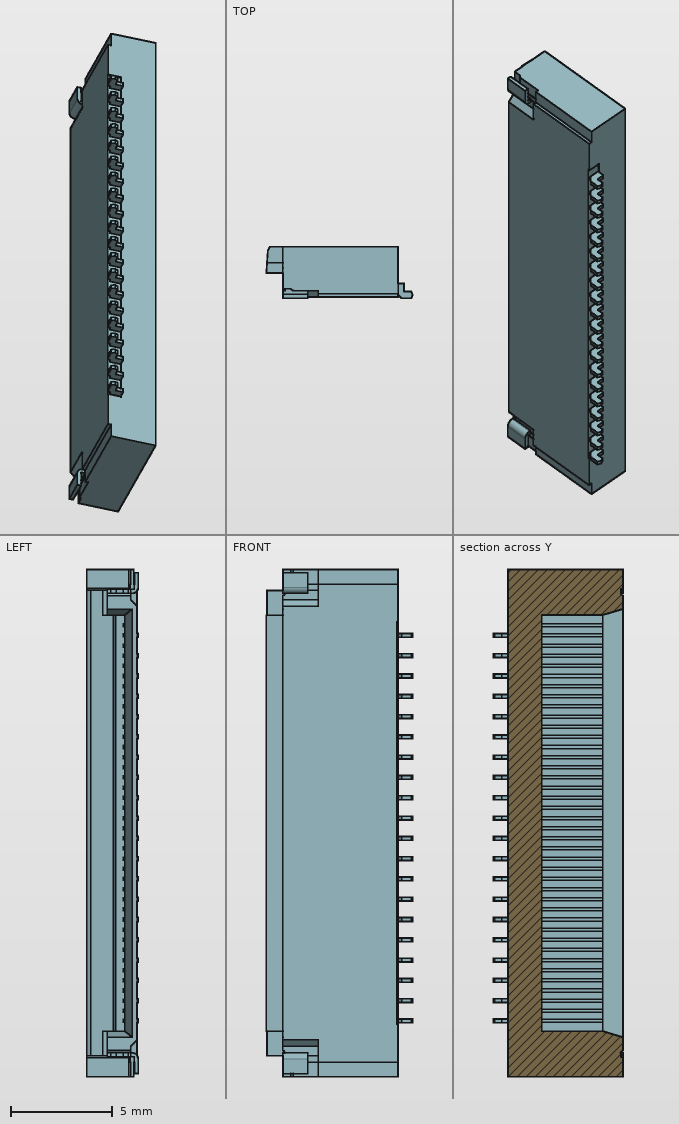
import cadquery as cq


LENGTH = 24.9
MIDDLE = LENGTH / 2
TOP_Y = 2.55
MOUTH_X = 0.82
REAR_X = 6.47
BASE_Y = 0.062
END_STEP_Y = 0.22
END_STEP_LENGTH = 0.72
END_BLOCK_LENGTH = 1.02
END_BLOCK_CHAMFER = 0.1

FLAP_END = END_BLOCK_LENGTH
FLAP_LOW_Y = 1.25
FLAP_HIGH_Y = 1.75
FLAP_SETBACK = 0.07
FLAP_TOP_CHAMFER = 0.2
FLAP_TOP_CHAMFER_X = 0.1
FLAP_MIDDLE_END = 2.25

CAVITY_END = FLAP_MIDDLE_END
CAVITY_LOW_Y = 0.67
CAVITY_HIGH_Y = 1.12
CAVITY_DEPTH = 3.98
LEAD_IN_END = 1.95
LEAD_IN_LOW_Y = 0.3
LEAD_IN_DEPTH = 1.0

RELIEF_LOW_Y = 1.52
RELIEF_DEPTH = 0.07

POCKET_REAR_X = 2.56
POCKET_FLOOR_Y = 0.37
POCKET_LENGTH = 1.5
GROOVE_FLOOR_Y = 0.4
POCKET_SLOPE = POCKET_FLOOR_Y - BASE_Y
MOUTH_FLOOR_Y = 0.47
MOUTH_FLOOR_FLAT = 0.37
MOUTH_FLOOR_SLOPE = 0.12

TAB_THICKNESS = 0.2
TAB_REAR_X = 2.05
TAB_END = 0.15
TAB_BEND_RADIUS = 0.3
LEG_START = 0.97
LEG_TOP_Y = RELIEF_LOW_Y
LEG_SETBACK = 0.1
LEG_NOTCH_LOW_Y = (0.5, 1.1)
LEG_NOTCH_HEIGHT = 0.25
LEG_NOTCH_DEPTH = 0.07
SLOT_EDGE_CHAMFER = 0.12

CONTACT_COUNT = 40
CONTACT_PITCH = 0.5
CONTACT_WIDTH = 0.15
CONTACT_HEIGHT = 0.07
TAIL_WIDTH = 0.2
TAIL_COUNT = CONTACT_COUNT // 2
TAIL_TOP_Y = 0.75
TAIL_RISER_X = 6.77
TAIL_TIP_X = 7.2
TAIL_FOOT_Y = 0.35
TAIL_ROOT = 0.25
TAIL_HEEL = 0.17
TAIL_TIP_CHAMFER = 0.07
REAR_NOTCH_DEPTH = 0.07
REAR_NOTCH_MARGIN = 0.17

FIRST_CONTACT_Z = MIDDLE - CONTACT_PITCH * (CONTACT_COUNT - 1) / 2


def block(x0, x1, y0, y1, z0, z1):
    """Box given by its limits along each axis."""
    return cq.Workplane("XY").box(x1 - x0, y1 - y0, z1 - z0, centered=False).translate((x0, y0, z0))


def extrude_along_z(points, z0, z1):
    """Closed XY outline swept between two heights."""
    return cq.Workplane("XY").workplane(offset=z0).polyline(points).close().extrude(z1 - z0)


def extrude_along_x(points, x0, x1):
    """Closed YZ outline swept between two X positions."""
    return cq.Workplane("YZ").workplane(offset=x0).polyline(points).close().extrude(x1 - x0)


def extrude_along_y(points, y0, y1):
    """Closed XZ outline swept between two Y positions."""
    return cq.Workplane("XZ", origin=(0, y0, 0)).polyline(points).close().extrude(y0 - y1)


def row_along_z(shape, count, pitch):
    """Equally spaced copies of a shape, starting at the first contact."""
    heights = [FIRST_CONTACT_Z + index * pitch for index in range(count)]
    copies = [shape.val().translate(cq.Vector(0, 0, z)) for z in heights]
    return cq.Workplane(cq.Compound.makeCompound(copies))


def at_both_ends(bottom_shape):
    """The shape at the lower end together with its mirror image at the upper end."""
    return bottom_shape.union(bottom_shape.mirror("XY", (0, 0, MIDDLE)))


def make_housing():
    body = block(MOUTH_X, REAR_X, BASE_Y, TOP_Y, 0, LENGTH)
    end_step = block(MOUTH_X, REAR_X, BASE_Y, END_STEP_Y, 0, END_STEP_LENGTH)
    return body.cut(at_both_ends(end_step))


def make_flap_root():
    """Middle of the flap carried into the mouth; its underside slopes down to the cavity ceiling."""
    root_x = MOUTH_X + LEAD_IN_DEPTH
    outline = [
        (MOUTH_X, FLAP_LOW_Y),
        (root_x, CAVITY_HIGH_Y),
        (root_x, FLAP_HIGH_Y),
        (MOUTH_X, FLAP_HIGH_Y),
    ]
    return extrude_along_z(outline, FLAP_MIDDLE_END, LENGTH - FLAP_MIDDLE_END)


def make_flap():
    outline = [
        (MOUTH_X, FLAP_LOW_Y),
        (0, FLAP_LOW_Y),
        (FLAP_SETBACK, TOP_Y - FLAP_TOP_CHAMFER),
        (FLAP_SETBACK + FLAP_TOP_CHAMFER_X, TOP_Y),
        (MOUTH_X, TOP_Y),
    ]
    flap = extrude_along_z(outline, FLAP_END, LENGTH - FLAP_END)
    end_relief = block(0, MOUTH_X, FLAP_LOW_Y, FLAP_HIGH_Y, FLAP_END, FLAP_MIDDLE_END)
    return flap.cut(at_both_ends(end_relief)).union(make_flap_root())


def lead_in_section(x, low_y, end_z):
    """Rectangular outline of the lead-in at one depth, centred along the length."""
    centre = (x, (low_y + RELIEF_LOW_Y) / 2, MIDDLE)
    plane = cq.Plane(origin=centre, xDir=(0, 1, 0), normal=(1, 0, 0))
    return cq.Workplane(plane).rect(RELIEF_LOW_Y - low_y, LENGTH - 2 * end_z).wires().val()


def make_cavity():
    cavity = block(MOUTH_X, MOUTH_X + CAVITY_DEPTH, CAVITY_LOW_Y, CAVITY_HIGH_Y, CAVITY_END, LENGTH - CAVITY_END)
    outer = lead_in_section(MOUTH_X, LEAD_IN_LOW_Y, LEAD_IN_END)
    inner = lead_in_section(MOUTH_X + LEAD_IN_DEPTH, CAVITY_LOW_Y, CAVITY_END)
    lead_in = cq.Solid.makeLoft([outer, inner], True)
    return cavity.union(cq.Workplane(lead_in))


def make_end_block_chamfer():
    """Bevel on the mouth-side edge of the end block, next to the flap."""
    outline = [
        (MOUTH_X, END_BLOCK_LENGTH - END_BLOCK_CHAMFER),
        (MOUTH_X, END_BLOCK_LENGTH),
        (MOUTH_X + END_BLOCK_CHAMFER, END_BLOCK_LENGTH),
    ]
    return extrude_along_y(outline, MOUTH_FLOOR_Y, TOP_Y)


def make_mouth_relief():
    return block(MOUTH_X, MOUTH_X + RELIEF_DEPTH, RELIEF_LOW_Y, FLAP_HIGH_Y, FLAP_END, LENGTH - FLAP_END)


def make_pocket():
    outline = [
        (0, 0),
        (POCKET_FLOOR_Y, 0),
        (POCKET_FLOOR_Y, POCKET_LENGTH),
        (BASE_Y, POCKET_LENGTH + POCKET_SLOPE),
        (0, POCKET_LENGTH + POCKET_SLOPE),
    ]
    pocket = extrude_along_x(outline, MOUTH_X, POCKET_REAR_X)
    flat_end_x = MOUTH_X + MOUTH_FLOOR_FLAT
    mouth_floor = [
        (MOUTH_X, 0),
        (MOUTH_X, MOUTH_FLOOR_Y),
        (flat_end_x, MOUTH_FLOOR_Y),
        (flat_end_x + MOUTH_FLOOR_SLOPE, POCKET_FLOOR_Y),
        (flat_end_x + MOUTH_FLOOR_SLOPE, 0),
    ]
    groove = block(MOUTH_X, POCKET_REAR_X, 0, GROOVE_FLOOR_Y, END_STEP_LENGTH, END_BLOCK_LENGTH)
    return pocket.union(extrude_along_z(mouth_floor, 0, LEG_START)).union(groove)


def make_slot():
    """Slot for the leg, widened by a chamfer along its inner edge at the mouth."""
    leg_end = LEG_START + TAB_THICKNESS
    slot = block(MOUTH_X, TAB_REAR_X, 0, LEG_TOP_Y, LEG_START, leg_end)
    edge_outline = [
        (MOUTH_X, leg_end),
        (MOUTH_X, leg_end + SLOT_EDGE_CHAMFER),
        (MOUTH_X + SLOT_EDGE_CHAMFER, leg_end),
    ]
    edge = extrude_along_y(edge_outline, POCKET_FLOOR_Y, LEG_TOP_Y)
    return slot.union(edge)


def make_tab():
    leg_end = LEG_START + TAB_THICKNESS
    pad = block(MOUTH_X, TAB_REAR_X, 0, TAB_THICKNESS, TAB_END, leg_end)
    leg = block(MOUTH_X, TAB_REAR_X, 0, LEG_TOP_Y, LEG_START, leg_end)
    outer_bend = pad.union(leg).edges("|X").edges("<Y").edges(">Z")
    tab = outer_bend.fillet(TAB_BEND_RADIUS)
    leg_x = MOUTH_X + LEG_SETBACK
    tab = tab.cut(block(MOUTH_X, leg_x, POCKET_FLOOR_Y, LEG_TOP_Y, LEG_START, leg_end))
    for low_y in LEG_NOTCH_LOW_Y:
        high_y = low_y + LEG_NOTCH_HEIGHT
        tab = tab.cut(block(leg_x, leg_x + LEG_NOTCH_DEPTH, low_y, high_y, LEG_START, leg_end))
    return tab


def make_contact():
    half = CONTACT_WIDTH / 2
    return block(
        MOUTH_X + LEAD_IN_DEPTH,
        MOUTH_X + CAVITY_DEPTH,
        CAVITY_LOW_Y,
        CAVITY_LOW_Y + CONTACT_HEIGHT,
        -half,
        half,
    )


def make_tail():
    outline = [
        (REAR_X - TAIL_ROOT, TAIL_TOP_Y),
        (TAIL_RISER_X, TAIL_TOP_Y),
        (TAIL_RISER_X, TAIL_FOOT_Y),
        (TAIL_TIP_X - TAIL_TIP_CHAMFER, TAIL_FOOT_Y),
        (TAIL_TIP_X, TAIL_FOOT_Y / 2),
        (TAIL_TIP_X - TAIL_TIP_CHAMFER, 0),
        (REAR_X + TAIL_HEEL, 0),
        (REAR_X, TAIL_HEEL),
        (REAR_X - TAIL_ROOT, TAIL_HEEL),
    ]
    half = TAIL_WIDTH / 2
    return extrude_along_z(outline, -half, half)


def make_rear_notch():
    start_z = FIRST_CONTACT_Z - REAR_NOTCH_MARGIN
    return block(REAR_X - REAR_NOTCH_DEPTH, REAR_X, BASE_Y, TAIL_TOP_Y, start_z, LENGTH - start_z)


result = (
    make_housing()
    .cut(make_cavity())
    .cut(make_mouth_relief())
    .cut(at_both_ends(make_pocket()))
    .cut(at_both_ends(make_slot()))
    .cut(at_both_ends(make_end_block_chamfer()))
    .cut(make_rear_notch())
    .union(make_flap())
    .union(at_both_ends(make_tab()))
    .union(row_along_z(make_contact(), CONTACT_COUNT, CONTACT_PITCH))
    .union(row_along_z(make_tail(), TAIL_COUNT, 2 * CONTACT_PITCH))
)